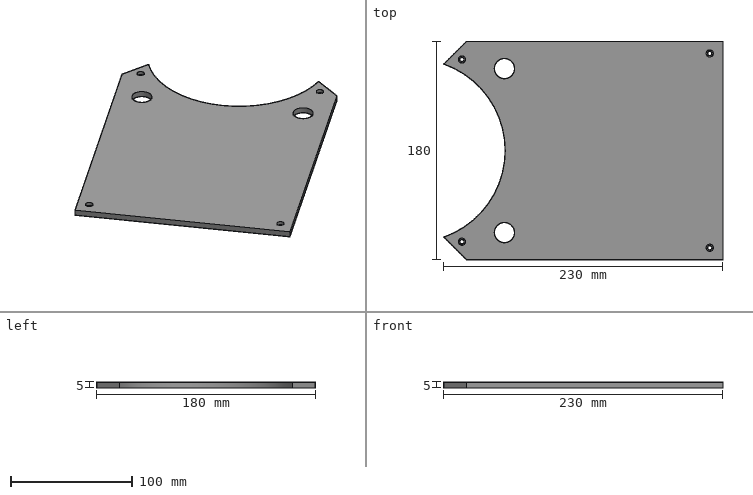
import cadquery as cq
import math

length = 230.0
width = 180.0
thickness = 5.0

notch_radius = 75.4
notch_depth = 50.5

large_hole_diameter = 16.4
large_hole_x = -65.0
large_hole_spacing = 135.0

screw_diameter = 3.4
screw_head_diameter = 5.9
screw_head_depth = 3.0
left_screw_x = -100.0
left_screw_spacing = 150.0
right_screw_x = 104.0
right_screw_spacing = 160.0

left = -length / 2
right = length / 2
half_width = width / 2
notch_bottom_x = left + notch_depth
notch_center_x = notch_bottom_x - notch_radius
tip_y = math.sqrt(notch_radius**2 - (left - notch_center_x) ** 2)
corner_cut = half_width - tip_y


def mirrored_pair(x, spacing):
    """Two points at the same X, mirrored about the X axis."""
    return [(x, spacing / 2), (x, -spacing / 2)]


def make_plate():
    """Plate with angled -X corners and the round cut-out between them."""
    return (
        cq.Workplane("XY")
        .moveTo(left, tip_y)
        .lineTo(left + corner_cut, half_width)
        .lineTo(right, half_width)
        .lineTo(right, -half_width)
        .lineTo(left + corner_cut, -half_width)
        .lineTo(left, -tip_y)
        .threePointArc((notch_bottom_x, 0), (left, tip_y))
        .close()
        .extrude(thickness)
    )


def top_plane(body):
    """Workplane on the upper face, centred on the origin."""
    return body.faces(">Z").workplane(origin=(0, 0, thickness))


def cut_large_holes(body):
    points = mirrored_pair(large_hole_x, large_hole_spacing)
    return top_plane(body).pushPoints(points).hole(large_hole_diameter)


def cut_screw_holes(body):
    points = mirrored_pair(left_screw_x, left_screw_spacing)
    points += mirrored_pair(right_screw_x, right_screw_spacing)
    return top_plane(body).pushPoints(points).cboreHole(screw_diameter, screw_head_diameter, screw_head_depth)


result = cut_screw_holes(cut_large_holes(make_plate()))